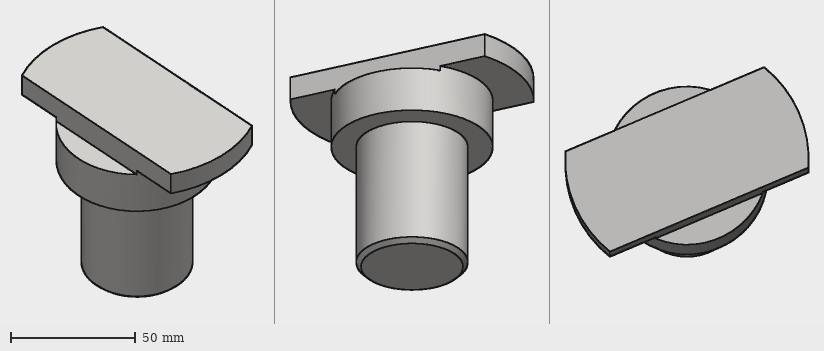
import cadquery as cq

total_height = 85.0
head_diameter = 97.95
head_width = 45.0
head_thickness = 10.0
collar_diameter = 65.0
collar_bottom_depth = 31.0
step_depth = 11.95
shaft_diameter = 45.0
shaft_chamfer = 2.0

collar_bottom = total_height - collar_bottom_depth
head_bottom = total_height - head_thickness
step_height = total_height - step_depth


def cylinder(diameter, bottom, top):
    """Vertical cylinder between two heights."""
    return cq.Workplane("XY").workplane(offset=bottom).circle(diameter / 2).extrude(top - bottom)


shaft = cylinder(shaft_diameter, 0, collar_bottom).faces("<Z").edges().chamfer(shaft_chamfer)

collar = cylinder(collar_diameter, collar_bottom, head_bottom)
head = cylinder(head_diameter, head_bottom, total_height)

flat_band = (
    cq.Workplane("XY")
    .workplane(offset=step_height)
    .rect(head_diameter, head_width)
    .extrude(step_depth)
)
upper = collar.union(head)
collar_base = cylinder(collar_diameter, collar_bottom, step_height)
trimmed_upper = upper.intersect(flat_band)

result = shaft.union(collar_base).union(trimmed_upper)